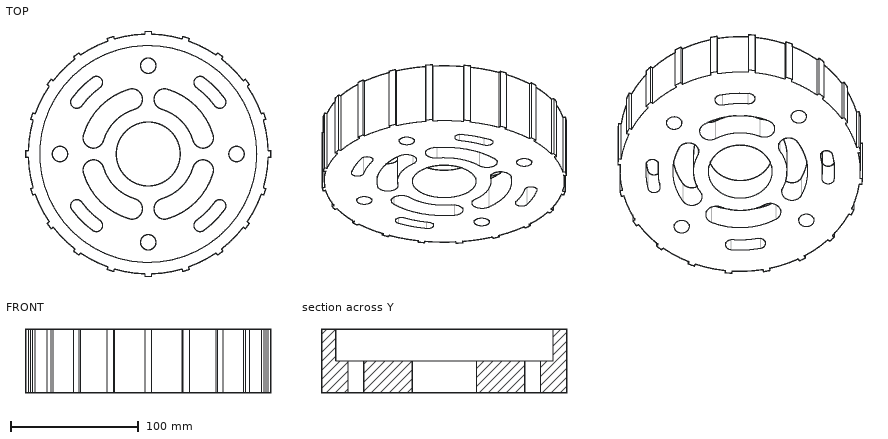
import cadquery as cq
import math

outer_diameter = 192.0
height = 50.0
rib_count = 20
rib_width = 5.4
body_diameter = 188.0
recess_diameter = 170.0
floor_thickness = height / 2
bore_diameter = 50.0

pattern_count = 4
hole_diameter = 12.0
bolt_circle_radius = 69.1

large_slot_radius = 44.7
large_slot_width = 16.1
large_slot_span = 57.0

small_slot_radius = bolt_circle_radius
small_slot_width = 9.6
small_slot_span = 18.0

pattern_step = 360 / pattern_count


def polar(radius, angle):
    """Point at a radius and an angle in degrees about the wheel axis."""
    return radius * math.cos(math.radians(angle)), radius * math.sin(math.radians(angle))


def make_rim():
    """Ribbed cylinder, before the recess is cut."""
    rim = cq.Workplane("XY").circle(body_diameter / 2).extrude(height)
    rib_root = recess_diameter / 2
    rib_length = outer_diameter / 2 - rib_root
    rib = (
        cq.Workplane("XY")
        .center(rib_root + rib_length / 2, 0)
        .rect(rib_length, rib_width)
        .extrude(height)
    )
    for i in range(rib_count):
        rim = rim.union(rib.rotate((0, 0, 0), (0, 0, 1), i * 360 / rib_count))
    return rim


def make_arc_slot(radius, width, span, middle_angle):
    """Round-ended slot cutter that follows an arc about the wheel axis."""
    inner = radius - width / 2
    outer = radius + width / 2
    start = middle_angle - span / 2
    end = middle_angle + span / 2
    return (
        cq.Workplane("XY")
        .moveTo(*polar(inner, start))
        .threePointArc(polar(inner, middle_angle), polar(inner, end))
        .tangentArcPoint(polar(outer, end), relative=False)
        .threePointArc(polar(outer, middle_angle), polar(outer, start))
        .tangentArcPoint(polar(inner, start), relative=False)
        .close()
        .extrude(height)
    )


wheel = make_rim()

wheel = wheel.cut(
    cq.Workplane("XY").workplane(offset=floor_thickness).circle(recess_diameter / 2).extrude(height)
)
wheel = wheel.cut(cq.Workplane("XY").circle(bore_diameter / 2).extrude(height))

holes = (
    cq.Workplane("XY")
    .polarArray(bolt_circle_radius, 0, 360, pattern_count)
    .circle(hole_diameter / 2)
    .extrude(height)
)
wheel = wheel.cut(holes)
for i in range(pattern_count):
    middle = (i + 0.5) * pattern_step
    wheel = wheel.cut(make_arc_slot(large_slot_radius, large_slot_width, large_slot_span, middle))
    wheel = wheel.cut(make_arc_slot(small_slot_radius, small_slot_width, small_slot_span, middle))

result = wheel